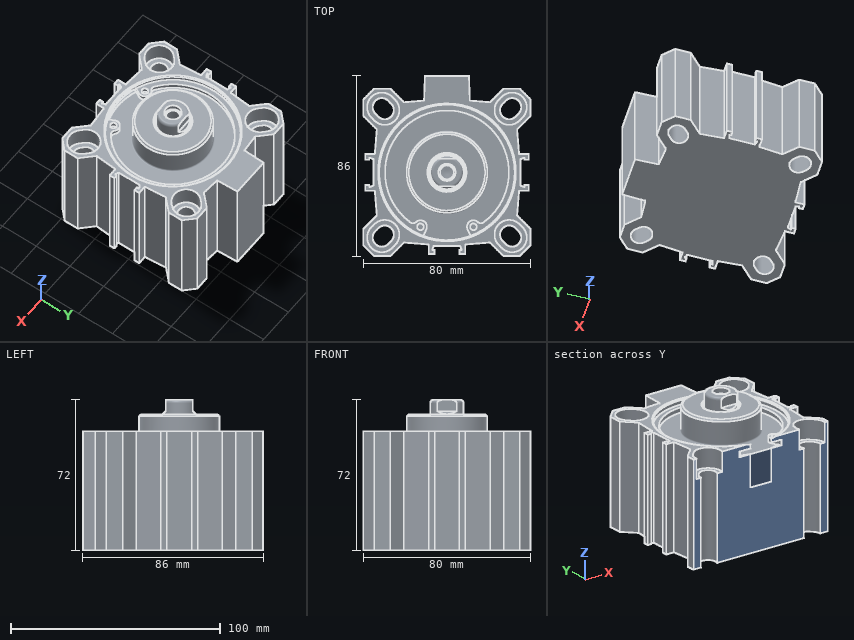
import cadquery as cq
import math

body_height = 57.0
collar_top = 65.0
rod_top = 72.0
ring_top = 54.2
ring_thickness = 2.7
flange_top = ring_top - ring_thickness
flange_thickness = 17.2
bore_floor = flange_top - flange_thickness

half_width = 40.0
lug_chamfer = 5.25
lug_offset = 13.0
wall_corner = 33.5
wall_middle = 34.5
port_top = 46.0
port_half_width = 10.6
port_root_half_width = 11.0

rail_outer_half = 8.8
rail_lip_half = 5.9
rail_undercut_half = 7.0
rail_floor_half = 6.3
rail_top = 39.05
rail_lip_bottom = 37.0
rail_floor = 35.2

bore_diameter = 64.7
bore_chamfer = 0.6
groove_diameter = 68.2
bolt_spacing = 60.8
bolt_diameter = 8.6
counterbore_diameter = 14.0
counterbore_depth = 10.5
bolt_stretch = 2.0

ring_inner_diameter = 59.2
ear_x = 12.6
ear_y = -26.0
ear_radius = 3.1
ear_hole_diameter = 3.2
ear_fillet = 2.15

collar_diameter = 38.5
collar_chamfer = 1.0
collar_root_fillet = 0.8
wiper_diameter = 17.7
wiper_depth = 0.9
seal_diameter = 16.5
seal_depth = 2.6
wiper_chamfer = 0.5

rod_diameter = 16.0
rod_fillet = 1.6
flat_half_width = 6.5
flat_bottom = 66.6
mouth_diameter = 8.25
mouth_depth = 3.0
tap_diameter = 6.6
tap_depth = 17.2
drill_point_angle = 165.0


def disc(diameter, bottom, top):
    """Upright cylinder on the Z axis between two heights."""
    return cq.Workplane("XY").workplane(offset=bottom).circle(diameter / 2).extrude(top - bottom)


def make_lugged_body():
    """Square outline with four diagonal corner lugs and slightly bowed walls."""
    wall_end = wall_corner - lug_offset
    lug_start = half_width - lug_offset
    lug_end = half_width - lug_chamfer
    side = [
        (-wall_corner, wall_end),
        (-half_width, lug_start),
        (-half_width, lug_end),
        (-lug_end, half_width),
        (-lug_start, half_width),
        (-wall_end, wall_corner),
        (-rail_outer_half, wall_middle),
        (rail_outer_half, wall_middle),
    ]
    points = []
    for quarter in range(4):
        for x, y in side:
            for _ in range(quarter):
                x, y = y, -x
            points.append((x, y))
    return cq.Workplane("XY").polyline(points).close().extrude(body_height)


def rail_pair():
    """Two hooked strips on the -Y wall; the slot between them is undercut."""
    depth = rail_top - wall_corner
    strips = (
        cq.Workplane("XY")
        .center(0, -wall_corner - depth / 2)
        .rect(2 * rail_outer_half, depth)
        .extrude(body_height)
    )
    slot = (
        cq.Workplane("XY")
        .moveTo(-rail_lip_half, -rail_top)
        .lineTo(-rail_lip_half, -rail_lip_bottom)
        .lineTo(-rail_undercut_half, -rail_lip_bottom)
        .lineTo(-rail_floor_half, -rail_floor)
        .lineTo(rail_floor_half, -rail_floor)
        .lineTo(rail_undercut_half, -rail_lip_bottom)
        .lineTo(rail_lip_half, -rail_lip_bottom)
        .lineTo(rail_lip_half, -rail_top)
        .close()
        .extrude(body_height)
    )
    return strips.cut(slot)


def port_block():
    """Slightly tapered block on the +Y wall."""
    return (
        cq.Workplane("XY")
        .polyline([
            (-port_root_half_width, wall_corner),
            (-port_half_width, port_top),
            (port_half_width, port_top),
            (port_root_half_width, wall_corner),
        ])
        .close()
        .extrude(body_height)
    )


def bolt_slot(angle, diameter, bottom):
    """Slot at one corner, stretched along the diagonal, up to the top face."""
    return (
        cq.Workplane("XY")
        .workplane(offset=bottom)
        .center(bolt_spacing / math.sqrt(2), 0)
        .slot2D(diameter + bolt_stretch, diameter)
        .extrude(body_height - bottom)
        .rotate((0, 0, 0), (0, 0, 1), angle)
    )


def make_housing():
    housing = make_lugged_body().union(port_block())
    for angle in (-90, 0, 90):
        housing = housing.union(rail_pair().rotate((0, 0, 0), (0, 0, 1), angle))

    housing = housing.cut(disc(bore_diameter, bore_floor, body_height))
    mouth_edge = cq.selectors.RadiusNthSelector(-1)
    housing = housing.faces(">Z").edges("%CIRCLE").edges(mouth_edge).chamfer(bore_chamfer)
    housing = housing.cut(disc(groove_diameter, flange_top, ring_top))

    for angle in (45, 135, 225, 315):
        housing = housing.cut(bolt_slot(angle, bolt_diameter, 0))
        housing = housing.cut(bolt_slot(angle, counterbore_diameter, body_height - counterbore_depth))
    return housing


def make_ring():
    """Internal retaining ring, open toward -Y, with a holed ear at each end."""
    ears = [(-ear_x, ear_y), (ear_x, ear_y)]
    base = cq.Workplane("XY").workplane(offset=flange_top)
    ring = base.circle(groove_diameter / 2).circle(ring_inner_diameter / 2).extrude(ring_thickness)
    ring = ring.union(base.pushPoints(ears).circle(ear_radius).extrude(ring_thickness))

    ear_angle = math.atan2(ear_x, -ear_y)
    apex_y = -ear_radius / math.sin(ear_angle)
    gap_half_width = (groove_diameter + apex_y) * math.tan(ear_angle)
    gap = (
        base.polyline([
            (0, apex_y),
            (-gap_half_width, -groove_diameter),
            (gap_half_width, -groove_diameter),
        ])
        .close()
        .extrude(ring_thickness)
    )
    ring = ring.cut(gap)

    inner_radius = ring_inner_diameter / 2
    ear_distance = math.hypot(ear_x, ear_y)
    cosine = (inner_radius**2 + ear_distance**2 - ear_radius**2) / (2 * inner_radius * ear_distance)
    corner_angle = ear_angle + math.acos(cosine)
    corner_x = inner_radius * math.sin(corner_angle)
    corner_y = -inner_radius * math.cos(corner_angle)
    for x in (-corner_x, corner_x):
        corner = cq.selectors.NearestToPointSelector((x, corner_y, flange_top))
        ring = ring.edges("|Z").edges(corner).fillet(ear_fillet)
    return ring.cut(base.pushPoints(ears).circle(ear_hole_diameter / 2).extrude(ring_thickness))


def make_cover():
    """Flanged cover with a raised collar, guiding the rod."""
    flange_radius = bore_diameter / 2
    collar_radius = collar_diameter / 2
    cover = (
        cq.Workplane("XZ")
        .moveTo(0, bore_floor)
        .lineTo(flange_radius, bore_floor)
        .lineTo(flange_radius, flange_top)
        .lineTo(collar_radius + collar_root_fillet, flange_top)
        .radiusArc((collar_radius, flange_top + collar_root_fillet), collar_root_fillet)
        .lineTo(collar_radius, collar_top - collar_chamfer)
        .lineTo(collar_radius - collar_chamfer, collar_top)
        .lineTo(0, collar_top)
        .close()
        .revolve(360, (0, 0, 0), (0, 1, 0))
    )
    cover = cover.cut(disc(rod_diameter, bore_floor, collar_top))
    cover = cover.cut(disc(seal_diameter, collar_top - seal_depth, collar_top))
    cover = cover.cut(disc(wiper_diameter, collar_top - wiper_depth, collar_top))
    mouth_edge = cq.selectors.RadiusNthSelector(0)
    return cover.faces(">Z").edges(mouth_edge).chamfer(wiper_chamfer)


def make_rod():
    """Rod end with two wrench flats and a stepped tapped hole."""
    radius = rod_diameter / 2
    rod = disc(rod_diameter, bore_floor, rod_top).faces(">Z").edges().fillet(rod_fillet)

    flat_depth = radius - flat_half_width
    flat = (
        cq.Workplane("YZ")
        .polyline([
            (flat_half_width, rod_top),
            (flat_half_width, flat_bottom),
            (radius, flat_bottom - flat_depth),
            (radius, rod_top),
        ])
        .close()
        .extrude(radius, both=True)
    )
    rod = rod.cut(flat).cut(flat.mirror("XZ"))

    point_depth = tap_diameter / 2 / math.tan(math.radians(drill_point_angle / 2))
    hole = (
        cq.Workplane("XZ")
        .polyline([
            (0, rod_top),
            (mouth_diameter / 2, rod_top),
            (mouth_diameter / 2, rod_top - mouth_depth),
            (tap_diameter / 2, rod_top - mouth_depth),
            (tap_diameter / 2, rod_top - tap_depth),
            (0, rod_top - tap_depth - point_depth),
        ])
        .close()
        .revolve(360, (0, 0, 0), (0, 1, 0))
    )
    return rod.cut(hole)


housing = make_housing()
ring = make_ring()
cover = make_cover()
rod = make_rod()

result = cq.Compound.makeCompound([housing.val(), ring.val(), cover.val(), rod.val()])